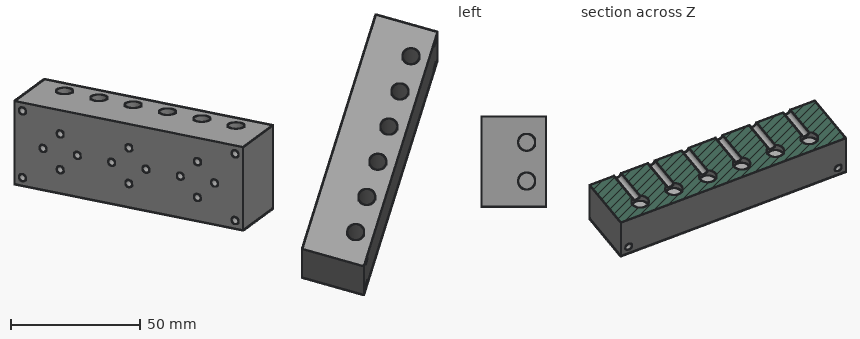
import cadquery as cq

length, depth, height = 100.0, 25.0, 35.0

mount_diameter = 3.0
mount_inset = 3.5

port_diameter = 6.6
supply_y = 7.5
outlet_inset = 7.0
outlet_y = depth - outlet_inset
supply_offset = 7.5
supply_length = 90.0
outlet_overrun = 2.5
outlet_length = height / 2 + outlet_overrun

valve_diameter = 3.0
station_pitch = 30.0
station_count = 3
outlet_offset = 7.5

middle_x, middle_z = length / 2, height / 2
first_station = middle_x - station_pitch * (station_count - 1) / 2
station_xs = [first_station + i * station_pitch for i in range(station_count)]
outlet_xs = [x + side * outlet_offset for x in station_xs for side in (-1, 1)]
supply_zs = [middle_z + side * supply_offset for side in (-1, 1)]


def drill(diameter, run, start, direction):
    """Return a cylindrical bore of the given length."""
    return cq.Workplane(cq.Solid.makeCylinder(diameter / 2, run, cq.Vector(*start), cq.Vector(*direction)))


result = cq.Workplane().box(length, depth, height, centered=False)

for z in supply_zs:
    result = result.cut(drill(port_diameter, supply_length, (0, supply_y, z), (1, 0, 0)))

for x in outlet_xs:
    result = result.cut(drill(port_diameter, outlet_length, (x, outlet_y, height), (0, 0, -1)))
    result = result.cut(drill(valve_diameter, outlet_y, (x, 0, middle_z), (0, 1, 0)))

for x in station_xs:
    for z in supply_zs:
        result = result.cut(drill(valve_diameter, supply_y, (x, 0, z), (0, 1, 0)))

for x in (mount_inset, length - mount_inset):
    for z in (mount_inset, height - mount_inset):
        result = result.cut(drill(mount_diameter, depth, (x, 0, z), (0, 1, 0)))